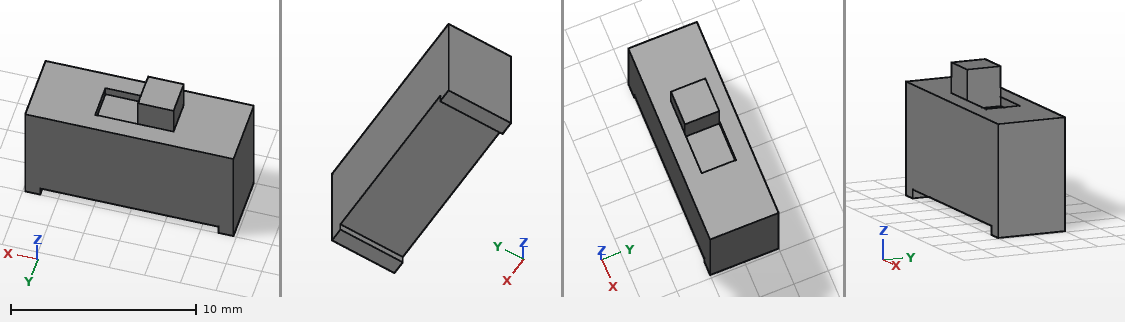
import cadquery as cq

housing_length = 11.7
housing_width = 4.0
housing_top = 6.3

foot_length = 0.85
foot_height = 0.5

slot_length = 4.4
slot_width = 2.0
slot_depth = 0.5

knob_length = 2.0
knob_width = slot_width
overall_height = 8.0


def block(length, width, bottom, top, center_x=0.0):
    """Box centred on Y = 0 that spans from bottom to top in Z."""
    return (
        cq.Workplane("XY", origin=(center_x, 0, bottom))
        .rect(length, width)
        .extrude(top - bottom)
    )


def make_housing():
    """Rectangular housing with a foot at each end and an open slot in the top."""
    body = block(housing_length, housing_width, 0, housing_top)
    relief_length = housing_length - 2 * foot_length
    relief = block(relief_length, housing_width, 0, foot_height)
    slot = block(slot_length, slot_width, housing_top - slot_depth, housing_top)
    return body.cut(relief).cut(slot)


def make_knob():
    """Slider knob rising from the slot floor."""
    center_x = (knob_length - slot_length) / 2
    return block(knob_length, knob_width, housing_top - slot_depth, overall_height, center_x)


result = make_housing().union(make_knob())